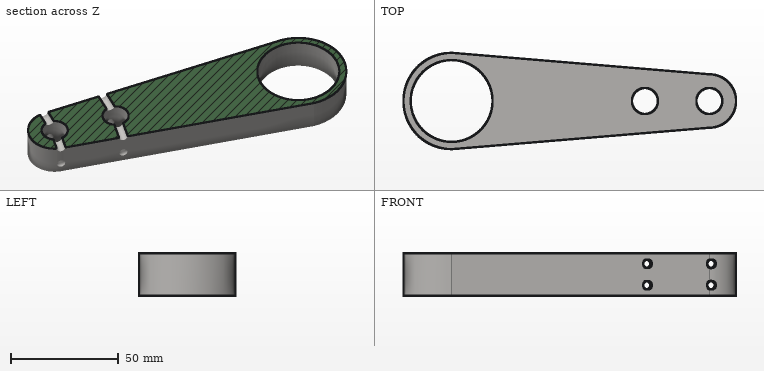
import cadquery as cq
import math

thickness = 20.0
ring_radius = 22.5
tip_radius = 12.5
center_distance = 120.0
ring_bore_diameter = 38.0

pin_hole_diameter = 12.0
pin_hole_spacing = 30.0
pin_hole_positions = [center_distance - pin_hole_spacing, center_distance]

screw_hole_diameter = 4.0
screw_hole_edge_distance = 5.0
screw_hole_heights = [screw_hole_edge_distance, thickness - screw_hole_edge_distance]
screw_hole_length = 2 * ring_radius

flank_angle = math.atan((ring_radius - tip_radius) / center_distance)


def lever_body():
    """Plate with round ends whose straight flanks join the arcs at their centers' X."""
    return (
        cq.Workplane("XY")
        .moveTo(0, ring_radius)
        .threePointArc((-ring_radius, 0), (0, -ring_radius))
        .lineTo(center_distance, -tip_radius)
        .threePointArc((center_distance + tip_radius, 0), (center_distance, tip_radius))
        .close()
        .extrude(thickness)
    )


def vertical_hole(x, diameter):
    """Through-hole cutter parallel to Z on the centerline."""
    return cq.Workplane("XY").center(x, 0).circle(diameter / 2).extrude(thickness)


def screw_hole(x, height, side):
    """Cutter from a pin hole's axis, square to the flank on the given Y side (+1 or -1)."""
    start = cq.Vector(x, 0, height)
    direction = cq.Vector(math.sin(flank_angle), side * math.cos(flank_angle), 0)
    return cq.Solid.makeCylinder(screw_hole_diameter / 2, screw_hole_length, start, direction)


result = lever_body().cut(vertical_hole(0, ring_bore_diameter))

for pin_x in pin_hole_positions:
    result = result.cut(vertical_hole(pin_x, pin_hole_diameter))
    for hole_height in screw_hole_heights:
        for flank_side in (-1, 1):
            result = result.cut(screw_hole(pin_x, hole_height, flank_side))